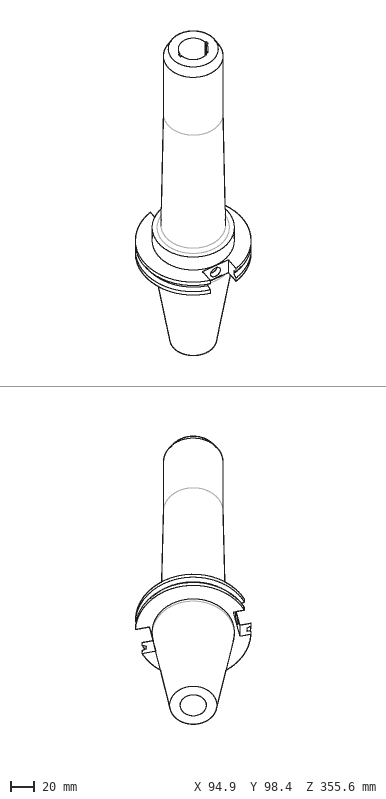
import cadquery as cq
import math

NOSE_TOP = 254.0
TAPER_LENGTH = 101.6
FLANGE_BOTTOM = 3.175
FLANGE_THICKNESS = 15.875
COLLAR_TOP = 34.925
STRAIGHT_NOSE_LENGTH = 79.375
NOSE_BEVEL_HEIGHT = 8.5

GAUGE_DIAMETER = 69.85
TAPER_PER_LENGTH = 7 / 24
FLANGE_DIAMETER = 98.425
NECK_BASE_DIAMETER = 55.0
NOSE_DIAMETER = 50.8
NOSE_TIP_DIAMETER = 42.5
NECK_FILLET_RADIUS = 3.175

GROOVE_MOUTH_WIDTH = 7.6
GROOVE_FLOOR_WIDTH = 3.6
GROOVE_FLANK_ANGLE = 30.0

NOTCH_WIDTH = 25.93
DEEP_NOTCH_FLOOR_TO_AXIS = 35.3
SHALLOW_NOTCH_FLOOR_TO_AXIS = 37.7
NOTCH_HOLE_DIAMETER = 10.0
NOTCH_HOLE_DEPTH = 5.0

TOOL_BORE_DIAMETER = 25.4
TOOL_BORE_DEPTH = 79.375
THROUGH_BORE_DIAMETER = 22.2

BORE_SLOT_WIDTH = 3.0
BORE_SLOT_FLOOR_TO_AXIS = 14.0

FLANGE_TOP = FLANGE_BOTTOM + FLANGE_THICKNESS
FLANGE_MIDDLE = FLANGE_BOTTOM + FLANGE_THICKNESS / 2
GAUGE_RADIUS = GAUGE_DIAMETER / 2
FLANGE_RADIUS = FLANGE_DIAMETER / 2
SMALL_END_RADIUS = GAUGE_RADIUS - TAPER_LENGTH * TAPER_PER_LENGTH / 2
GROOVE_FLANK_RISE = (GROOVE_MOUTH_WIDTH - GROOVE_FLOOR_WIDTH) / 2
GROOVE_DEPTH = GROOVE_FLANK_RISE / math.tan(math.radians(GROOVE_FLANK_ANGLE))
GROOVE_FLOOR_RADIUS = FLANGE_RADIUS - GROOVE_DEPTH


def turned_body():
    """Revolve the half profile: taper, grooved flange, collar, neck and bevelled nose."""
    neck_radius = NECK_BASE_DIAMETER / 2
    nose_radius = NOSE_DIAMETER / 2
    arc_offset = NECK_FILLET_RADIUS * (1 - math.sqrt(0.5))
    profile = (
        cq.Workplane("XZ")
        .moveTo(0, -TAPER_LENGTH)
        .lineTo(SMALL_END_RADIUS, -TAPER_LENGTH)
        .lineTo(GAUGE_RADIUS, 0)
        .lineTo(GAUGE_RADIUS, FLANGE_BOTTOM)
        .lineTo(FLANGE_RADIUS, FLANGE_BOTTOM)
        .lineTo(FLANGE_RADIUS, FLANGE_MIDDLE - GROOVE_MOUTH_WIDTH / 2)
        .lineTo(GROOVE_FLOOR_RADIUS, FLANGE_MIDDLE - GROOVE_FLOOR_WIDTH / 2)
        .lineTo(GROOVE_FLOOR_RADIUS, FLANGE_MIDDLE + GROOVE_FLOOR_WIDTH / 2)
        .lineTo(FLANGE_RADIUS, FLANGE_MIDDLE + GROOVE_MOUTH_WIDTH / 2)
        .lineTo(FLANGE_RADIUS, FLANGE_TOP)
        .lineTo(GAUGE_RADIUS, FLANGE_TOP)
        .lineTo(GAUGE_RADIUS, COLLAR_TOP)
        .lineTo(neck_radius + NECK_FILLET_RADIUS, COLLAR_TOP)
        .threePointArc(
            (neck_radius + arc_offset, COLLAR_TOP + arc_offset),
            (neck_radius, COLLAR_TOP + NECK_FILLET_RADIUS),
        )
        .lineTo(nose_radius, NOSE_TOP - STRAIGHT_NOSE_LENGTH)
        .lineTo(nose_radius, NOSE_TOP - NOSE_BEVEL_HEIGHT)
        .lineTo(NOSE_TIP_DIAMETER / 2, NOSE_TOP)
        .lineTo(0, NOSE_TOP)
        .close()
    )
    return profile.revolve(360, (0, 0), (0, 1))


def axial_bores():
    """Slotted tool bore from the nose, continued by a smaller bore through to the small end."""
    through_bore = (
        cq.Workplane("XY")
        .workplane(offset=-TAPER_LENGTH)
        .circle(THROUGH_BORE_DIAMETER / 2)
        .extrude(TAPER_LENGTH + NOSE_TOP)
    )
    tool_bore = (
        cq.Workplane("XY")
        .workplane(offset=NOSE_TOP - TOOL_BORE_DEPTH)
        .circle(TOOL_BORE_DIAMETER / 2)
        .extrude(TOOL_BORE_DEPTH)
    )
    opposite_slots = (
        cq.Workplane("XY")
        .workplane(offset=NOSE_TOP - TOOL_BORE_DEPTH)
        .rect(BORE_SLOT_WIDTH, 2 * BORE_SLOT_FLOOR_TO_AXIS)
        .extrude(TOOL_BORE_DEPTH)
    )
    return through_bore.union(tool_bore).union(opposite_slots)


def drive_notch(side, floor_to_axis):
    """Flat-floored notch across the flange with a blind round hole in its floor; side is +1 or -1."""
    notch_depth = FLANGE_RADIUS - floor_to_axis
    notch = cq.Workplane("XY").box(notch_depth, NOTCH_WIDTH, FLANGE_THICKNESS)
    notch = notch.translate((side * (floor_to_axis + notch_depth / 2), 0, FLANGE_MIDDLE))
    hole = (
        cq.Workplane("YZ")
        .workplane(offset=side * floor_to_axis)
        .center(0, FLANGE_MIDDLE)
        .circle(NOTCH_HOLE_DIAMETER / 2)
        .extrude(-side * NOTCH_HOLE_DEPTH)
    )
    return notch.union(hole)


result = turned_body().cut(axial_bores())
result = result.cut(drive_notch(1, DEEP_NOTCH_FLOOR_TO_AXIS))
result = result.cut(drive_notch(-1, SHALLOW_NOTCH_FLOOR_TO_AXIS))